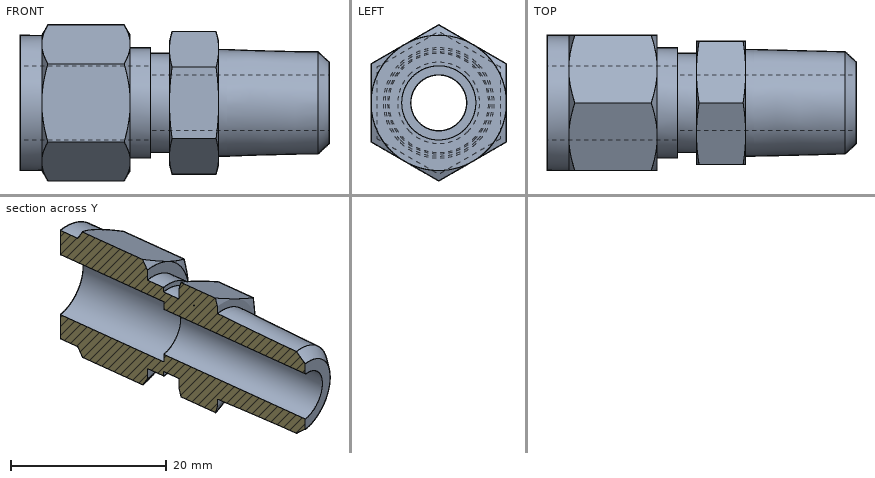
import cadquery as cq
import math

nut_collar_end = 2.8
nut_end = 14.2
collar_end = 16.83
body_hex_start = 19.25
body_hex_end = 25.6
thread_start = 26.67
thread_end = 38.45
overall_length = 39.87

hex_sides = 6
envelope_clearance = 1.1
nut_across_flats = 17.45
nut_bevel_angle = 30.0
body_across_flats = 15.95
body_bevel_angle = 15.0

collar_diameter = 14.27
neck_diameter = 12.85
thread_large_diameter = 13.8
thread_small_diameter = 13.2
tip_diameter = 10.53

socket_diameter = 9.55
socket_depth = collar_end
bore_diameter = 7.18


def cylinder(start, end, diameter):
    """Solid cylinder on the X axis between two stations."""
    return cq.Workplane("YZ").workplane(offset=start).circle(diameter / 2).extrude(end - start)


def revolve_about_x(points):
    """Revolve a closed (x, radius) outline around the X axis."""
    return cq.Workplane("XY").polyline(points).close().revolve(360, (0, 0, 0), (1, 0, 0))


def bevelled_hex(start, end, across_flats, bevel_angle):
    """Hexagonal prism on the X axis with conical bevels on the corners at both ends."""
    flat_radius = across_flats / 2
    corner_radius = flat_radius / math.cos(math.pi / hex_sides)
    prism = (
        cq.Workplane("YZ")
        .workplane(offset=start)
        .transformed(rotate=(0, 0, 90))
        .polygon(hex_sides, 2 * corner_radius)
        .extrude(end - start)
    )
    envelope_radius = envelope_clearance * corner_radius
    bevel_length = (envelope_radius - flat_radius) * math.tan(math.radians(bevel_angle))
    envelope = revolve_about_x([
        (start, 0),
        (start, flat_radius),
        (start + bevel_length, envelope_radius),
        (end - bevel_length, envelope_radius),
        (end, flat_radius),
        (end, 0),
    ])
    return prism.intersect(envelope)


def pipe_end():
    """Straight shank, tapered thread envelope and chamfered tip."""
    return revolve_about_x([
        (body_hex_end, 0),
        (body_hex_end, thread_large_diameter / 2),
        (thread_start, thread_large_diameter / 2),
        (thread_end, thread_small_diameter / 2),
        (overall_length, tip_diameter / 2),
        (overall_length, 0),
    ])


nut_collar = cylinder(0, nut_collar_end, nut_across_flats)
nut = bevelled_hex(nut_collar_end, nut_end, nut_across_flats, nut_bevel_angle)

collar = cylinder(nut_end, collar_end, collar_diameter)
neck = cylinder(collar_end, body_hex_start, neck_diameter)
body_hex = bevelled_hex(body_hex_start, body_hex_end, body_across_flats, body_bevel_angle)

outside = nut_collar.union(nut).union(collar).union(neck).union(body_hex).union(pipe_end())

socket = cylinder(0, socket_depth, socket_diameter)
bore = cylinder(0, overall_length, bore_diameter)

result = outside.cut(socket).cut(bore)